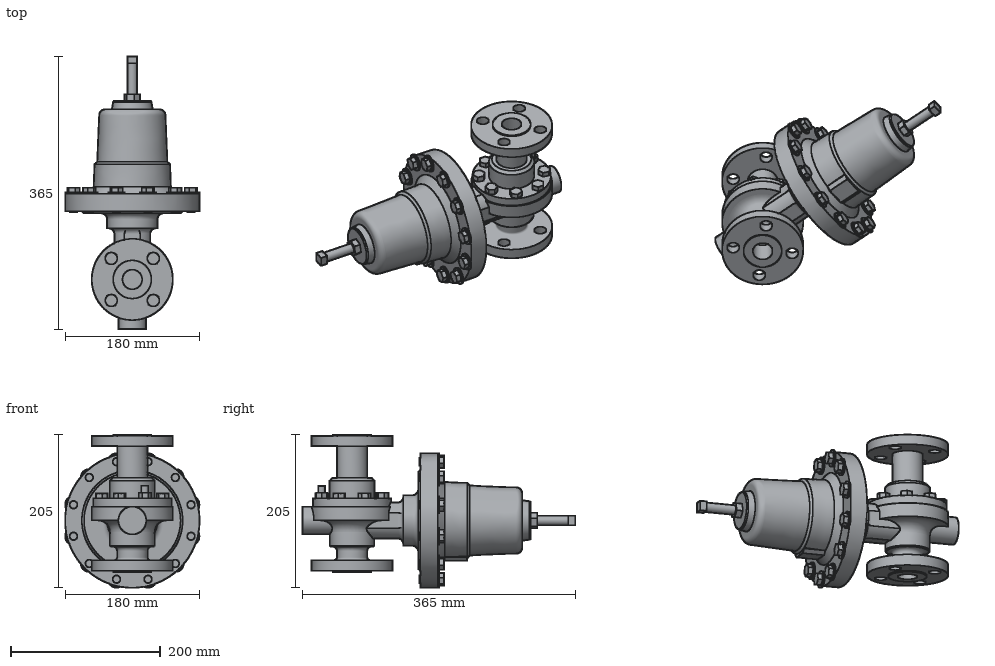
import cadquery as cq
import math


PIPE_FLANGE_RADIUS = 54.5
TOP_FACE_Z = 115.0
BOTTOM_FACE_Z = -69.5
FACE_RADIUS = 25.5
FACE_HEIGHT = 2.0
TOP_FLANGE_THICKNESS = 13.5
BOTTOM_FLANGE_THICKNESS = 14.5
PIPE_RADIUS = 20.5
BORE_RADIUS = 13.0
FLANGE_HOLE_RADIUS = 8.0
FLANGE_HOLE_OFFSET = 28.0
WELD_RADIUS = 3.3

COVER_BOSS_RADIUS = 30.3
COVER_BOSS_TOP_Z = 57.0
COVER_BOSS_CHAMFER = 4.0
COVER_RADIUS = 52.5
COVER_TOP_Z = 29.5
BODY_FLANGE_RADIUS = 54.5
BODY_FLANGE_TOP_Z = 18.5
LOWER_BOSS_RADIUS = 30.0
LOWER_BOSS_BOTTOM_Z = -35.0
LOWER_BOSS_CHAMFER = 1.5
BODY_FILLET = 15.7
NECK_FILLET = 5.5

COVER_BOLT_COUNT = 8
COVER_BOLT_CIRCLE_RADIUS = 44.0
COVER_BOLT_CORNER_RADIUS = 8.5
COVER_HEAD_HEIGHT = 6.5
COVER_HEAD_TURN = 10
NUT_HEIGHT = 7.5
TALL_NUT_INDICES = (1, 2)
STUD_BOLT_INDEX = 6
STUD_RADIUS = 4.7
STUD_TOP_Z = 46.5

PLUG_RADIUS = 18.5
PLUG_END_Y = -66.5

STEM_END_Y = 298.5
STEM_SQUARE_SIDE = 13.0
STEM_RADIUS = STEM_SQUARE_SIDE / 2
STEM_SQUARE_LENGTH = 9.5
LOCK_NUT_CORNER_RADIUS = 11.0
LOCK_NUT_HEIGHT = 8.8
LOCK_NUT_TURN = 15

CAP_END_Y = 239.0
CAP_CHAMFER = 2.2
CAP_END_RADIUS = 26.0
CAP_BASE_RADIUS = 27.5
CROWN_Y = 227.8
CROWN_FILLET = 8.5
CROWN_RADIUS = 44.5
STEP_Y = 157.3
STEP_SMALL_RADIUS = 47.0
STEP_LARGE_RADIUS = 50.7
STEP_LENGTH = 3.3
HOUSING_BASE_Y = 123.7
HOUSING_BASE_RADIUS = 52.0
BASE_LIP = 1.5
FLARE_RADIUS = 62.0

CASE_RADIUS = 90.0
CASE_BACK_Y = 114.5
CASE_FRONT_Y = 91.2
RIM_RADIUS = 67.5
RIM_HEIGHT = 3.0
COLLAR_RADIUS = 34.0
COLLAR_FILLET = 7.5
COLLAR_END_Y = 68.3
YOKE_RADIUS = 26.3
YOKE_FILLET = 6.2
YOKE_FLAT_OFFSET = 24.0
YOKE_FLAT_FILLET = 7.3

PAD_WIDTH = 34.3
PAD_BOTTOM_Z = -54.0
PAD_CHAMFER = 5.0

CASE_BOLT_COUNT = 12
CASE_BOLT_CIRCLE_RADIUS = 81.5
CASE_BOLT_CORNER_RADIUS = 8.8
CASE_HEAD_HEIGHT = 6.5
CASE_HEAD_TURN = 30
BOLT_SEAT_RADIUS = 11.3
BOLT_SEAT_HEIGHT = 2.0
BOLT_SHANK_RADIUS = 5.0
BOLT_TIP_LENGTH = 1.0


def on_circle(center, radius, degrees):
    """Point at an angle on a circle."""
    angle = math.radians(degrees)
    return (center[0] + radius * math.cos(angle), center[1] + radius * math.sin(angle))


def hex_prism(center, corner_radius, height, turn):
    """Hexagonal prism standing on the XY plane, one corner at the turn angle."""
    corners = [on_circle(center, corner_radius, turn + 60 * i) for i in range(6)]
    return cq.Workplane("XY").polyline(corners).close().extrude(height)


def disc(radius, height, center=(0, 0)):
    """Cylinder standing on the XY plane."""
    return cq.Workplane("XY").center(*center).circle(radius).extrude(height)


def along_y(solid, y):
    """Turn a solid built along Z so that it points to +Y, starting at y."""
    return solid.rotate((0, 0, 0), (1, 0, 0), -90).translate((0, y, 0))


def pipe_flange(low_z, thickness):
    """Round pipe flange with four bolt holes on its diagonals."""
    holes = [(sx * FLANGE_HOLE_OFFSET, sy * FLANGE_HOLE_OFFSET) for sx in (-1, 1) for sy in (-1, 1)]
    flange = disc(PIPE_FLANGE_RADIUS, thickness)
    drills = cq.Workplane("XY").pushPoints(holes).circle(FLANGE_HOLE_RADIUS).extrude(thickness)
    return flange.cut(drills).translate((0, 0, low_z))


def valve_column():
    """Everything round about the Z axis except the two pipe flanges."""
    boss_edge_z = COVER_BOSS_TOP_Z - COVER_BOSS_CHAMFER
    fillet_center = (LOWER_BOSS_RADIUS + BODY_FILLET, -BODY_FILLET)
    neck_center = (PIPE_RADIUS + NECK_FILLET, LOWER_BOSS_BOTTOM_Z - NECK_FILLET)
    flange_z = BOTTOM_FACE_Z + FACE_HEIGHT + BOTTOM_FLANGE_THICKNESS
    weld_center = (PIPE_RADIUS + WELD_RADIUS, flange_z + WELD_RADIUS)
    profile = (
        cq.Workplane("XZ")
        .moveTo(0, TOP_FACE_Z)
        .lineTo(FACE_RADIUS, TOP_FACE_Z)
        .lineTo(FACE_RADIUS, TOP_FACE_Z - FACE_HEIGHT)
        .lineTo(PIPE_RADIUS, TOP_FACE_Z - FACE_HEIGHT)
        .lineTo(PIPE_RADIUS, COVER_BOSS_TOP_Z)
        .lineTo(COVER_BOSS_RADIUS - COVER_BOSS_CHAMFER, COVER_BOSS_TOP_Z)
        .lineTo(COVER_BOSS_RADIUS, boss_edge_z)
        .lineTo(COVER_BOSS_RADIUS, COVER_TOP_Z)
        .lineTo(COVER_RADIUS, COVER_TOP_Z)
        .lineTo(COVER_RADIUS, BODY_FLANGE_TOP_Z)
        .lineTo(BODY_FLANGE_RADIUS, BODY_FLANGE_TOP_Z)
        .lineTo(BODY_FLANGE_RADIUS, 0)
        .lineTo(fillet_center[0], 0)
        .threePointArc(on_circle(fillet_center, BODY_FILLET, 135), (LOWER_BOSS_RADIUS, -BODY_FILLET))
        .lineTo(LOWER_BOSS_RADIUS, LOWER_BOSS_BOTTOM_Z + LOWER_BOSS_CHAMFER)
        .lineTo(LOWER_BOSS_RADIUS - LOWER_BOSS_CHAMFER, LOWER_BOSS_BOTTOM_Z)
        .lineTo(neck_center[0], LOWER_BOSS_BOTTOM_Z)
        .threePointArc(on_circle(neck_center, NECK_FILLET, 135), (PIPE_RADIUS, neck_center[1]))
        .lineTo(PIPE_RADIUS, weld_center[1])
        .threePointArc(on_circle(weld_center, WELD_RADIUS, 225), (weld_center[0], flange_z))
        .lineTo(FACE_RADIUS, flange_z)
        .lineTo(FACE_RADIUS, BOTTOM_FACE_Z)
        .lineTo(0, BOTTOM_FACE_Z)
        .close()
    )
    return profile.revolve(360, (0, 0, 0), (0, 1, 0))


def cover_bolts():
    """Bolt heads on the cover; one place has a stud and nut instead."""
    step = 360 / COVER_BOLT_COUNT
    fasteners = cq.Workplane("XY")
    for i in range(COVER_BOLT_COUNT):
        angle = (i + 0.5) * step
        center = on_circle((0, 0), COVER_BOLT_CIRCLE_RADIUS, angle)
        is_stud = i == STUD_BOLT_INDEX
        height = NUT_HEIGHT if is_stud or i in TALL_NUT_INDICES else COVER_HEAD_HEIGHT
        head = hex_prism(center, COVER_BOLT_CORNER_RADIUS, height, angle + COVER_HEAD_TURN)
        fasteners = fasteners.add(head)
        if is_stud:
            fasteners = fasteners.add(disc(STUD_RADIUS, STUD_TOP_Z - COVER_TOP_Z, center))
    return fasteners.combine().translate((0, 0, COVER_TOP_Z))


def housing():
    """Spring housing, diaphragm case and yoke, round about the Y axis."""
    crown_center = (CROWN_RADIUS - CROWN_FILLET, CROWN_Y - CROWN_FILLET)
    rim_y = CASE_FRONT_Y - RIM_HEIGHT
    collar_center = (COLLAR_RADIUS + COLLAR_FILLET, rim_y - COLLAR_FILLET)
    yoke_center = (YOKE_RADIUS + YOKE_FILLET, COLLAR_END_Y - YOKE_FILLET)
    profile = (
        cq.Workplane("XY")
        .moveTo(0, CAP_END_Y)
        .lineTo(CAP_END_RADIUS - CAP_CHAMFER / 2, CAP_END_Y)
        .lineTo(CAP_END_RADIUS, CAP_END_Y - CAP_CHAMFER)
        .lineTo(CAP_BASE_RADIUS, CROWN_Y)
        .lineTo(crown_center[0], CROWN_Y)
        .threePointArc(on_circle(crown_center, CROWN_FILLET, 45), (CROWN_RADIUS, crown_center[1]))
        .lineTo(STEP_SMALL_RADIUS, STEP_Y)
        .lineTo(STEP_LARGE_RADIUS, STEP_Y - STEP_LENGTH)
        .lineTo(HOUSING_BASE_RADIUS, HOUSING_BASE_Y)
        .lineTo(HOUSING_BASE_RADIUS + BASE_LIP, HOUSING_BASE_Y - BASE_LIP)
        .lineTo(FLARE_RADIUS, CASE_BACK_Y)
        .lineTo(CASE_RADIUS, CASE_BACK_Y)
        .lineTo(CASE_RADIUS, CASE_FRONT_Y)
        .lineTo(RIM_RADIUS, CASE_FRONT_Y)
        .lineTo(RIM_RADIUS - RIM_HEIGHT, rim_y)
        .lineTo(collar_center[0], rim_y)
        .threePointArc(on_circle(collar_center, COLLAR_FILLET, 135), (COLLAR_RADIUS, collar_center[1]))
        .lineTo(COLLAR_RADIUS, COLLAR_END_Y)
        .lineTo(yoke_center[0], COLLAR_END_Y)
        .threePointArc(on_circle(yoke_center, YOKE_FILLET, 135), (YOKE_RADIUS, yoke_center[1]))
        .lineTo(YOKE_RADIUS, 0)
        .lineTo(0, 0)
        .close()
    )
    return profile.revolve(360, (0, 0, 0), (0, 1, 0))


def housing_pad():
    """Flat pad below the wide part of the spring housing."""
    length = STEP_Y - STEP_LENGTH - HOUSING_BASE_Y
    return (
        cq.Workplane("XY")
        .box(PAD_WIDTH, length, -PAD_BOTTOM_Z, centered=(True, False, False))
        .edges("|Y and <Z")
        .chamfer(PAD_CHAMFER)
        .translate((0, HOUSING_BASE_Y, PAD_BOTTOM_Z))
    )


def yoke_flats():
    """Material removed to leave four flats that sweep up into the collar."""
    half_width = math.sqrt(YOKE_RADIUS**2 - YOKE_FLAT_OFFSET**2)
    center = (YOKE_FLAT_OFFSET + YOKE_FLAT_FILLET, COLLAR_END_Y - YOKE_FLAT_FILLET)
    one_side = (
        cq.Workplane("XY")
        .moveTo(YOKE_FLAT_OFFSET, 0)
        .lineTo(YOKE_FLAT_OFFSET, center[1])
        .threePointArc(on_circle(center, YOKE_FLAT_FILLET, 135), (center[0], COLLAR_END_Y))
        .lineTo(COLLAR_RADIUS, COLLAR_END_Y)
        .lineTo(COLLAR_RADIUS, 0)
        .close()
        .extrude(half_width, both=True)
    )
    cutter = one_side
    for quarter in range(1, 4):
        cutter = cutter.union(one_side.rotate((0, 0, 0), (0, 1, 0), 90 * quarter))
    return cutter


def case_bolts():
    """Bolts through the case: seat, hex head and shank end at each place."""
    length = CASE_BACK_Y - CASE_FRONT_Y + BOLT_TIP_LENGTH
    center = (CASE_BOLT_CIRCLE_RADIUS, 0)
    head = hex_prism(center, CASE_BOLT_CORNER_RADIUS, CASE_HEAD_HEIGHT, CASE_HEAD_TURN)
    bolt = (
        disc(BOLT_SHANK_RADIUS, length, center)
        .union(disc(BOLT_SEAT_RADIUS, BOLT_SEAT_HEIGHT, center).translate((0, 0, length)))
        .union(head.translate((0, 0, length + BOLT_SEAT_HEIGHT)))
    )
    step = 360 / CASE_BOLT_COUNT
    bolts = cq.Workplane("XY")
    for i in range(CASE_BOLT_COUNT):
        bolts = bolts.add(bolt.rotate((0, 0, 0), (0, 0, 1), (i + 0.5) * step))
    return along_y(bolts.combine(), CASE_FRONT_Y - BOLT_TIP_LENGTH)


def stem():
    """Adjusting stem with a square end and a lock nut on the cap."""
    length = STEM_END_Y - CAP_END_Y
    square = cq.Workplane("XY").rect(STEM_SQUARE_SIDE, STEM_SQUARE_SIDE).extrude(STEM_SQUARE_LENGTH)
    rod = (
        disc(STEM_RADIUS, length)
        .union(square.translate((0, 0, length - STEM_SQUARE_LENGTH)))
        .union(hex_prism((0, 0), LOCK_NUT_CORNER_RADIUS, LOCK_NUT_HEIGHT, -LOCK_NUT_TURN))
    )
    return along_y(rod, CAP_END_Y)


top_flange = pipe_flange(TOP_FACE_Z - FACE_HEIGHT - TOP_FLANGE_THICKNESS, TOP_FLANGE_THICKNESS)
bottom_flange = pipe_flange(BOTTOM_FACE_Z + FACE_HEIGHT, BOTTOM_FLANGE_THICKNESS)
plug = along_y(disc(PLUG_RADIUS, -PLUG_END_Y), PLUG_END_Y)
top_bore = disc(BORE_RADIUS, TOP_FACE_Z - COVER_TOP_Z).translate((0, 0, COVER_TOP_Z))
bottom_bore = disc(BORE_RADIUS, LOWER_BOSS_BOTTOM_Z - BOTTOM_FACE_Z).translate((0, 0, BOTTOM_FACE_Z))

regulator = housing().cut(yoke_flats()).union(housing_pad()).union(case_bolts()).union(stem())
valve = valve_column().union(top_flange).union(bottom_flange).union(cover_bolts()).union(plug)
result = regulator.union(valve).cut(top_bore).cut(bottom_bore)